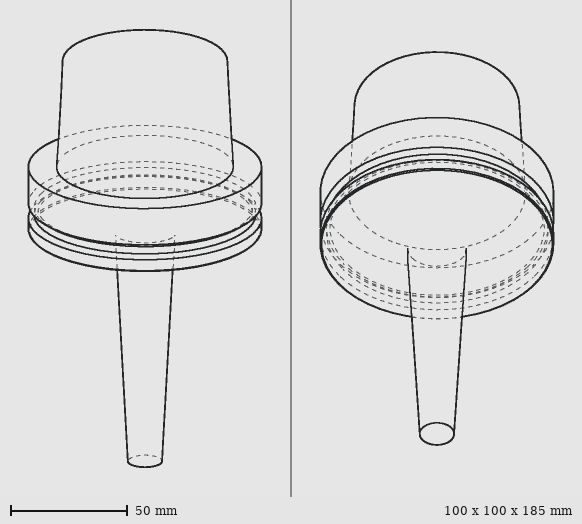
import cadquery as cq

total_height = 185.0
head_height = 50.0
flange_height = 29.0
flange_top = total_height - head_height
flange_bottom = flange_top - flange_height

head_top_radius = 35.3
head_base_radius = 38.0
head_edge_radius = 1.8

flange_diameter = 100.0
flange_radius = flange_diameter / 2
flange_edge_chamfer = 0.5
groove_floor_radius = 46.0
groove_wall_radius = 47.5
groove_corner_radius = 0.46
groove_mouth_width = 6.8
groove_floor_width = 3.3
groove_chamfer_height = (groove_mouth_width - groove_floor_width) / 2
groove_upper_edge = flange_top - 16.6
groove_floor_top = groove_upper_edge - groove_chamfer_height
groove_floor_bottom = groove_floor_top - groove_floor_width
groove_lower_edge = groove_upper_edge - groove_mouth_width

neck_diameter = 25.0
neck_radius = neck_diameter / 2
neck_height = 8.9
neck_fillet_radius = 3.0
tip_radius = 7.4
neck_bottom = flange_bottom - neck_height


def make_head():
    """Tapered head with its top edge rounded."""
    head = (
        cq.Workplane("XZ")
        .moveTo(0, flange_top)
        .lineTo(head_base_radius, flange_top)
        .lineTo(head_top_radius, total_height)
        .lineTo(0, total_height)
        .close()
        .revolve(360, (0, 0), (0, 1))
    )
    return head.faces(">Z").edges().fillet(head_edge_radius)


def make_flange():
    """Disc with a rim groove, chamfered at its mouth and rounded at its floor, and a chamfered lower edge."""
    return (
        cq.Workplane("XZ")
        .moveTo(0, flange_top)
        .lineTo(flange_radius, flange_top)
        .lineTo(flange_radius, groove_upper_edge)
        .lineTo(groove_wall_radius, groove_floor_top)
        .lineTo(groove_floor_radius + groove_corner_radius, groove_floor_top)
        .radiusArc((groove_floor_radius, groove_floor_top - groove_corner_radius), -groove_corner_radius)
        .lineTo(groove_floor_radius, groove_floor_bottom + groove_corner_radius)
        .radiusArc((groove_floor_radius + groove_corner_radius, groove_floor_bottom), -groove_corner_radius)
        .lineTo(groove_wall_radius, groove_floor_bottom)
        .lineTo(flange_radius, groove_lower_edge)
        .lineTo(flange_radius, flange_bottom + flange_edge_chamfer)
        .lineTo(flange_radius - flange_edge_chamfer, flange_bottom)
        .lineTo(0, flange_bottom)
        .close()
        .revolve(360, (0, 0), (0, 1))
    )


def make_shank():
    """Tapered shank whose neck flares into the flange with a concave fillet."""
    return (
        cq.Workplane("XZ")
        .lineTo(tip_radius, 0)
        .lineTo(neck_radius, neck_bottom)
        .lineTo(neck_radius, flange_bottom - neck_fillet_radius)
        .radiusArc((neck_radius + neck_fillet_radius, flange_bottom), neck_fillet_radius)
        .lineTo(0, flange_bottom)
        .close()
        .revolve(360, (0, 0), (0, 1))
    )


result = make_flange().union(make_head()).union(make_shank())